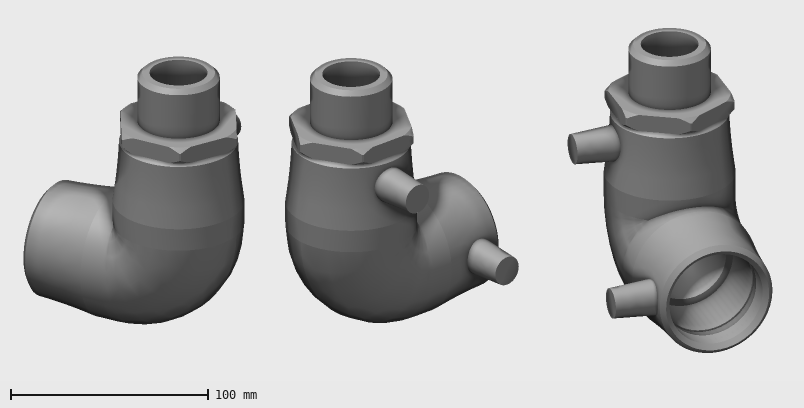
import cadquery as cq
import math

body_radius = 67.0 / 2
leg_length = 108 - body_radius
bend_radius = 26.4
taper_start = 38.5
mouth_radius = 30.2
taper_mid_radius = 31.4
mouth_chamfer_length = 2.5
rim_radius = 27.6

elbow_bore_radius = 42.3 / 2
socket_radius = 50.0 / 2
socket_groove_radius = 25.9
groove_outer = 62.0
groove_inner = 55.9
nipple_bore_radius = 29.4 / 2

total_height = 144.0
nipple_top = total_height - body_radius
nipple_radius = 41.9 / 2
nipple_chamfer = 2.5
hex_height = 9.0
hex_across_flats = 58.5
hex_corner_radius = body_radius
hex_chamfer = 2.5

post_end = 85.5 - body_radius
post_root = 30.2
post_root_radius = 9.4
post_end_radius = 7.8
post_position = 59.5


def to_horizontal(shape):
    """Turn a shape built along +Z so that it lies along -X."""
    return shape.rotate((0, 0, 0), (0, 1, 0), -90)


def cylinder(radius, start, end):
    """Cylinder on the Z axis between two heights."""
    return cq.Workplane("XY").workplane(offset=start).circle(radius).extrude(end - start)


def turned(outline):
    """Revolve a closed (radius, height) outline about the Z axis."""
    return outline.close().revolve(360, (0, 0, 0), (0, 1, 0))


def leg():
    chamfer_start = leg_length - mouth_chamfer_length
    outline = (
        cq.Workplane("XZ")
        .moveTo(0, bend_radius)
        .lineTo(body_radius, bend_radius)
        .lineTo(body_radius, taper_start)
        .threePointArc(
            (taper_mid_radius, (taper_start + chamfer_start) / 2),
            (mouth_radius, chamfer_start),
        )
        .lineTo(rim_radius, leg_length)
        .lineTo(0, leg_length)
    )
    return turned(outline)


def quarter_turn(profile):
    """Sweep a profile on the plane z = bend_radius around the bend axis, from +Z to -X."""
    return profile.revolve(90, (-bend_radius, 0, 0), (-bend_radius, 1, 0))


def elbow_bend():
    half_chord = math.sqrt(body_radius**2 - bend_radius**2)
    section = (
        cq.Workplane("XY", origin=(0, 0, bend_radius))
        .moveTo(-bend_radius, -half_chord)
        .threePointArc((0, -body_radius), (body_radius, 0))
        .threePointArc((0, body_radius), (-bend_radius, half_chord))
        .close()
    )
    return quarter_turn(section)


def elbow_bore():
    return quarter_turn(cq.Workplane("XY", origin=(0, 0, bend_radius)).circle(elbow_bore_radius))


def socket():
    """Pipe socket with a flared mouth and an internal groove."""
    flare_start = leg_length - mouth_chamfer_length
    outline = (
        cq.Workplane("XZ")
        .moveTo(0, bend_radius)
        .lineTo(socket_radius, bend_radius)
        .lineTo(socket_radius, flare_start)
        .lineTo(rim_radius, leg_length)
        .lineTo(0, leg_length)
    )
    groove = cylinder(socket_groove_radius, groove_inner, groove_outer)
    return to_horizontal(turned(outline).union(groove))


def hex_collar():
    hex_diameter = hex_across_flats / math.cos(math.pi / 6)
    hexagon = (
        cq.Workplane("XY")
        .workplane(offset=leg_length)
        .polygon(6, hex_diameter)
        .extrude(hex_height)
    )
    corner_envelope = (
        cylinder(hex_corner_radius, leg_length, leg_length + hex_height)
        .faces("<Z or >Z")
        .chamfer(hex_chamfer)
    )
    return hexagon.intersect(corner_envelope)


def nipple():
    outline = (
        cq.Workplane("XZ")
        .moveTo(0, leg_length)
        .lineTo(nipple_radius, leg_length)
        .lineTo(nipple_radius, nipple_top - nipple_chamfer)
        .lineTo(nipple_radius - nipple_chamfer, nipple_top)
        .lineTo(0, nipple_top)
    )
    return turned(outline)


def terminal_post(x, z):
    """Conical post pointing along +Y, rooted inside the leg wall."""
    post = cq.Solid.makeCone(
        post_root_radius,
        post_end_radius,
        post_end - post_root,
        cq.Vector(x, post_root, z),
        cq.Vector(0, 1, 0),
    )
    root = cq.Solid.makeCylinder(
        post_root_radius,
        post_root - socket_radius,
        cq.Vector(x, socket_radius, z),
        cq.Vector(0, 1, 0),
    )
    return cq.Workplane(post).union(cq.Workplane(root))


body = elbow_bend().union(leg()).union(to_horizontal(leg()))
body = body.union(hex_collar()).union(nipple())
for x, z in [(-post_position, 0), (0, post_position)]:
    body = body.union(terminal_post(x, z))

nipple_bore = cylinder(nipple_bore_radius, bend_radius, nipple_top)
result = body.cut(elbow_bore()).cut(socket()).cut(nipple_bore)